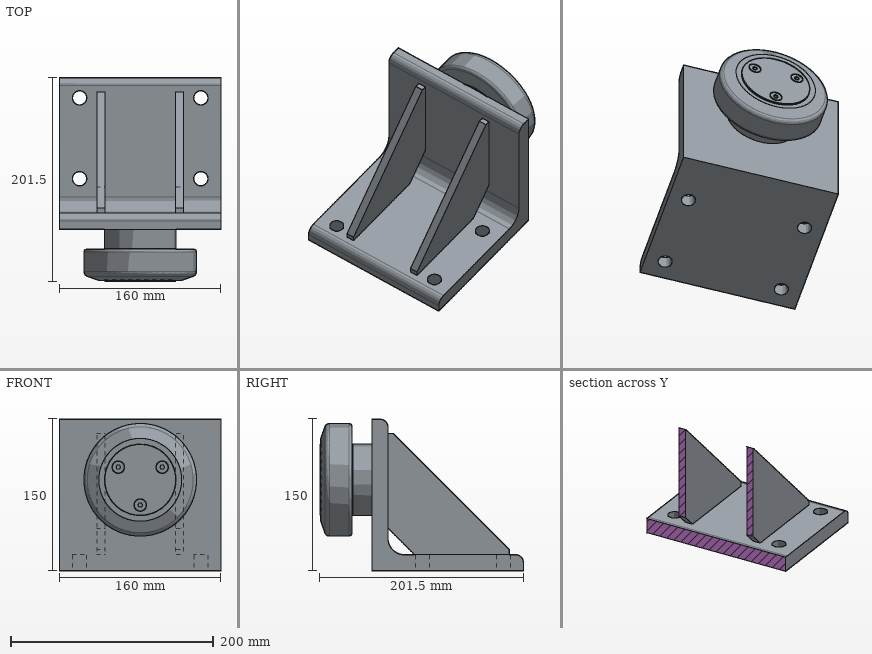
import cadquery as cq
import math

bracket_width = 160.0
leg_length = 150.0
leg_thickness = 16.0
root_radius = leg_thickness
toe_radius = leg_thickness / 2

mount_hole_diameter = 13.84
mount_hole_spacing_x = 120.0
mount_hole_spacing_y = 80.0
mount_hole_toe_offset = 20.0

rib_thickness = 8.0
rib_spacing = 78.0
rib_leg = 120.0
rib_blunt_edge = 5.0
rib_corner_cut = 26.0

axis_height = 90.0
hub_diameter = 71.0
hub_length = 19.0
pin_diameter = 70.0
pin_length = 51.5
roller_diameter = 111.5
roller_face_diameter = 82.0
roller_bore_diameter = 70.5
roller_start = 19.7
roller_end = 50.7
roller_cone_depth = 5.2
roller_back_radius = 3.0
roller_front_radius = 5.0
bore_gap_depth = 1.0

screw_count = 3
screw_circle_radius = 25.0
screw_recess_diameter = 12.4
screw_head_diameter = 11.7
screw_recess_depth = 0.5
socket_across_flats = 4.0
socket_across_corners = socket_across_flats / math.cos(math.pi / 6)
socket_depth = 1.0


def make_angle():
    """L-section with a rounded root and rounded toes, extruded across the width."""
    toe_start = leg_length - toe_radius
    profile = (
        cq.Workplane("YZ")
        .lineTo(leg_length, 0)
        .lineTo(leg_length, leg_thickness - toe_radius)
        .radiusArc((toe_start, leg_thickness), -toe_radius)
        .lineTo(leg_thickness + root_radius, leg_thickness)
        .radiusArc((leg_thickness, leg_thickness + root_radius), root_radius)
        .lineTo(leg_thickness, toe_start)
        .radiusArc((leg_thickness - toe_radius, leg_length), -toe_radius)
        .lineTo(0, leg_length)
        .close()
    )
    return profile.extrude(bracket_width / 2, both=True)


def make_mount_holes():
    """Cutters for the four mounting holes in the flat leg."""
    center_y = leg_length - mount_hole_toe_offset - mount_hole_spacing_y / 2
    return (
        cq.Workplane("XY")
        .center(0, center_y)
        .rarray(mount_hole_spacing_x, mount_hole_spacing_y, 2, 2)
        .circle(mount_hole_diameter / 2)
        .extrude(leg_thickness)
    )


def make_rib(center_x):
    """Triangular gusset with blunt ends and its inner corner cut clear of the root."""
    far = leg_thickness + rib_leg
    blunt = leg_thickness + rib_blunt_edge
    corner = leg_thickness + rib_corner_cut
    outline = [
        (corner, leg_thickness),
        (far, leg_thickness),
        (far, blunt),
        (blunt, far),
        (leg_thickness, far),
        (leg_thickness, corner),
    ]
    rib = cq.Workplane("YZ").polyline(outline).close().extrude(rib_thickness / 2, both=True)
    return rib.translate((center_x, 0, 0))


def roller_axis_plane(distance):
    """Plane square to the roller axis, facing -Y, at a distance in front of the bracket."""
    return cq.Workplane("XZ", origin=(0, -distance, axis_height))


def make_cylinder(diameter, start, end):
    """Cylinder on the roller axis between two distances in front of the bracket."""
    return roller_axis_plane(start).circle(diameter / 2).extrude(end - start)


def make_roller():
    """Disc with a rounded back edge and a coned front, rounded where the cone begins."""
    cone_start = roller_end - roller_cone_depth
    half_section = [
        (-roller_start, axis_height),
        (-roller_start, axis_height + roller_diameter / 2),
        (-cone_start, axis_height + roller_diameter / 2),
        (-roller_end, axis_height + roller_face_diameter / 2),
        (-roller_end, axis_height),
    ]
    axis_start, axis_end = half_section[0], half_section[-1]
    roller = cq.Workplane("YZ").polyline(half_section).close().revolve(360, axis_start, axis_end)
    roller = roller.faces(">Y").edges().fillet(roller_back_radius)
    roller = roller.faces("%CONE").edges(">Y").fillet(roller_front_radius)
    gap = make_cylinder(roller_bore_diameter, roller_end - bore_gap_depth, roller_end)
    return roller.cut(gap)


def make_screw_recesses():
    """Cutters for the ring clearance and hexagon socket of every screw."""
    cutters = cq.Workplane("XY")
    recess_floor = pin_length - screw_recess_depth
    socket_floor = pin_length - socket_depth
    for index in range(screw_count):
        angle = math.radians(-90 + index * 360 / screw_count)
        x = screw_circle_radius * math.cos(angle)
        z = screw_circle_radius * math.sin(angle)
        clearance = (
            roller_axis_plane(recess_floor)
            .center(x, z)
            .circle(screw_recess_diameter / 2)
            .circle(screw_head_diameter / 2)
            .extrude(screw_recess_depth)
        )
        socket = (
            roller_axis_plane(socket_floor)
            .center(x, z)
            .polygon(6, socket_across_corners)
            .extrude(socket_depth)
        )
        cutters = cutters.add(clearance).add(socket)
    return cutters.combine()


result = make_angle().cut(make_mount_holes())
for side in (-1, 1):
    result = result.union(make_rib(side * rib_spacing / 2))
result = result.union(make_cylinder(hub_diameter, 0, hub_length))
result = result.union(make_roller())
result = result.union(make_cylinder(pin_diameter, 0, pin_length))
result = result.cut(make_screw_recesses())